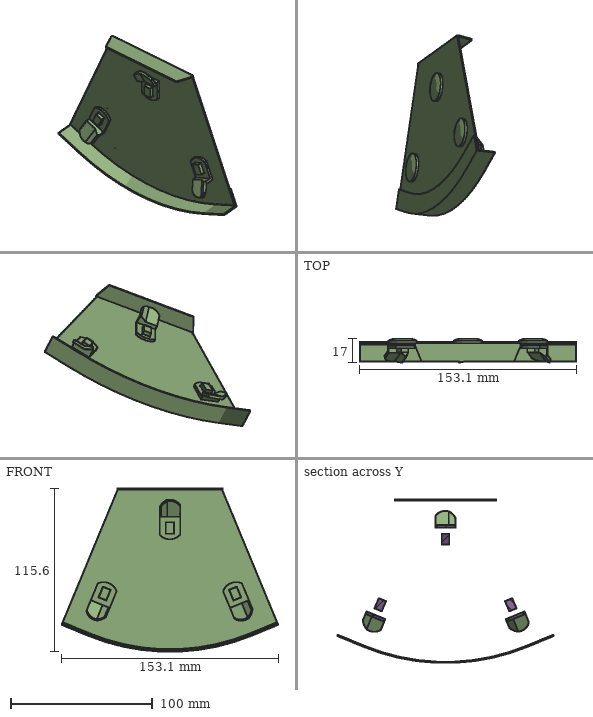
import cadquery as cq
import math

sheet = 1.0
half_angle = 22.5
bend_zone = 1.75
flange_depth = 13.0

total_height = 115.63
rim_half_width = 153.07 / 2
rim_straight = 20.0
web_width = 14.0
rim_gap = 1.0

latch_width = 14.4
latch_sheet = 2.0
latch_standoff = 0.7
latch_tail_drop = 8.0
latch_tail_radius = 9.7
latch_leg_top = 10.0
leg_reach = 5.0
tab_lean = 29.0
tab_tip_height = 20.0
tab_tip_radius = 8.2
wing_angle = 30.0
wing_crease = -2.3

knob_radius = 10.0
knob_rim = 1.75
knob_flat_radius = 6.0
knob_shoulder_bulge = 0.2
knob_height = 3.29
neck_radius = 6.0
shank_width = 5.6
shank_height = 7.9
shank_clearance = 0.2
shank_end = 2.8

top_knob_drop = 28.0
side_knob_drop = 74.4
side_knob_offset = 46.1

SIN = math.sin(math.radians(half_angle))
COS = math.cos(math.radians(half_angle))
TAN = SIN / COS
BIG = 100.0

rim_radius = (rim_half_width - rim_straight * COS) / SIN
arc_centre_z = rim_radius - total_height

stations = [
    (0.0, -top_knob_drop, 0.0),
    (-side_knob_offset, -side_knob_drop, 180.0 - half_angle),
    (side_knob_offset, -side_knob_drop, 180.0 + half_angle),
]


def facing_front(y):
    """Sketch plane parallel to XZ; extrudes run toward -Y."""
    return cq.Workplane("XZ", origin=(0, y, 0))


def rim_points(inset):
    """Left end, left tangent, bottom, right tangent, right end of the rim moved inward."""
    radius = rim_radius - inset
    tangent = (radius * SIN, arc_centre_z - radius * COS)
    end = (tangent[0] + rim_straight * COS, tangent[1] + rim_straight * SIN)
    bottom = (0, arc_centre_z - radius)
    return [(-end[0], end[1]), (-tangent[0], tangent[1]), bottom, tangent, end]


def along_rim(sketch, points):
    """Draw a rim line from the current first point to the last."""
    return sketch.lineTo(*points[1]).threePointArc(points[2], points[3]).lineTo(*points[4])


def rim_band(y, depth, width):
    outer = rim_points(0)
    inner = rim_points(width)
    sketch = along_rim(facing_front(y).moveTo(*outer[0]), outer)
    sketch = along_rim(sketch.lineTo(*inner[4]), inner[::-1])
    return sketch.close().extrude(depth)


def make_bracket():
    web = rim_band(sheet, sheet, web_width)
    flange = rim_band(sheet, flange_depth + sheet, sheet)
    return web.union(flange)


def make_plate():
    lower = rim_points(sheet + rim_gap)
    corner_x, corner_z = lower[4]
    half_width = corner_x + (corner_z + bend_zone) * TAN
    sketch = facing_front(0).moveTo(-half_width, 0).lineTo(-half_width, -bend_zone).lineTo(*lower[0])
    plate = (
        along_rim(sketch, lower)
        .lineTo(half_width, -bend_zone)
        .lineTo(half_width, 0)
        .close()
        .extrude(sheet)
    )
    front_half_width = half_width - (flange_depth - bend_zone) * TAN
    flange = (
        cq.Workplane("XY")
        .polyline([
            (-half_width, 0),
            (-half_width, -bend_zone),
            (-front_half_width, -flange_depth),
            (front_half_width, -flange_depth),
            (half_width, -bend_zone),
            (half_width, 0),
        ])
        .close()
        .extrude(-sheet)
    )
    plate = plate.union(flange)
    for x, z, _ in stations:
        hole = facing_front(0).center(x, z).circle(neck_radius).extrude(sheet)
        plate = plate.cut(hole)
    return plate


def make_knob():
    """Domed button behind the plate, neck through it and a rectangular shank for the latch."""
    neck_end = -sheet - latch_standoff
    button = (
        cq.Workplane("XY")
        .lineTo(0, knob_height)
        .lineTo(knob_flat_radius, knob_height)
        .sagittaArc((knob_radius, knob_rim), knob_shoulder_bulge)
        .lineTo(knob_radius, 0)
        .lineTo(neck_radius, 0)
        .lineTo(neck_radius, neck_end)
        .lineTo(0, neck_end)
        .close()
        .revolve(360, (0, 0, 0), (0, 1, 0))
    )
    shank = (
        facing_front(neck_end)
        .rect(shank_width, shank_height)
        .extrude(latch_sheet + shank_end)
    )
    return button.union(shank)


def make_latch():
    """Latch around a shank axis on Y through the origin, tab pointing up."""
    half = latch_width / 2
    rear = -sheet - latch_standoff
    leg_bottom = latch_leg_top - latch_sheet
    tail_end = latch_tail_drop - latch_tail_radius + math.sqrt(latch_tail_radius**2 - half**2)

    base = (
        facing_front(rear)
        .moveTo(-half, latch_leg_top)
        .lineTo(-half, -tail_end)
        .threePointArc((0, -latch_tail_drop), (half, -tail_end))
        .lineTo(half, latch_leg_top)
        .close()
        .extrude(latch_sheet)
    )
    shank_hole = (
        facing_front(rear)
        .rect(shank_width + 2 * shank_clearance, shank_height + 2 * shank_clearance)
        .extrude(latch_sheet)
    )
    base = base.cut(shank_hole)

    lean = math.radians(tab_lean)
    wing = math.radians(wing_angle)
    up = cq.Vector(0, -math.sin(lean), math.cos(lean))
    front_corner = cq.Vector(0, rear - leg_reach, leg_bottom)
    front_normal = cq.Vector(0, -math.cos(lean), -math.sin(lean))
    rear_corner = front_corner - front_normal * latch_sheet
    tab_plane = cq.Plane(origin=rear_corner - up * BIG / 2, xDir=(-1, 0, 0), normal=up)

    wing_rise = (half + wing_crease) * math.tan(wing)
    rear_edge = (half, wing_rise)
    front_edge = (half - latch_sheet * math.sin(wing), wing_rise + latch_sheet * math.cos(wing))
    rear_crease = (-wing_crease, 0)
    front_crease = (-wing_crease - latch_sheet * math.tan(wing / 2), latch_sheet)
    front_line = [rear_edge, front_edge, front_crease, (-half, latch_sheet)]
    tab_section = front_line + [(-half, 0), rear_crease]
    filled_section = front_line + [(-half, -BIG), (half, -BIG)]
    tab_bar = cq.Workplane(tab_plane).polyline(tab_section).close().extrude(BIG)
    behind_tab = cq.Workplane(tab_plane).polyline(filled_section).close().extrude(BIG)

    leg = (
        facing_front(rear)
        .center(0, leg_bottom + latch_sheet / 2)
        .rect(latch_width, latch_sheet)
        .extrude(BIG / 4)
        .intersect(behind_tab)
    )

    tip = (tab_tip_height - rear_corner.z) / math.cos(lean)
    tip_corner = tip - tab_tip_radius + math.sqrt(tab_tip_radius**2 - half**2)
    tip_plane = cq.Plane(origin=rear_corner, xDir=(1, 0, 0), normal=front_normal)
    tip_outline = (
        cq.Workplane(tip_plane)
        .moveTo(-half, -BIG)
        .lineTo(-half, tip_corner)
        .threePointArc((0, tip), (half, tip_corner))
        .lineTo(half, -BIG)
        .close()
        .extrude(BIG, both=True)
    )
    above_leg_bottom = cq.Workplane("XY", origin=(0, 0, leg_bottom)).rect(BIG, BIG).extrude(BIG)
    tab = tab_bar.intersect(tip_outline).intersect(above_leg_bottom)
    return base.union(leg).union(tab)


def at_station(body, x, z, turn):
    """Turn counter-clockwise as seen from the front, then move into place."""
    return body.rotate((0, 0, 0), (0, -1, 0), turn).translate((x, 0, z))


plate = make_plate()
bracket = make_bracket()
knobs = [at_station(make_knob(), *station) for station in stations]
latches = [at_station(make_latch(), *station) for station in stations]

result = cq.Compound.makeCompound(
    [plate.val(), bracket.val()] + [knob.val() for knob in knobs] + [latch.val() for latch in latches]
)